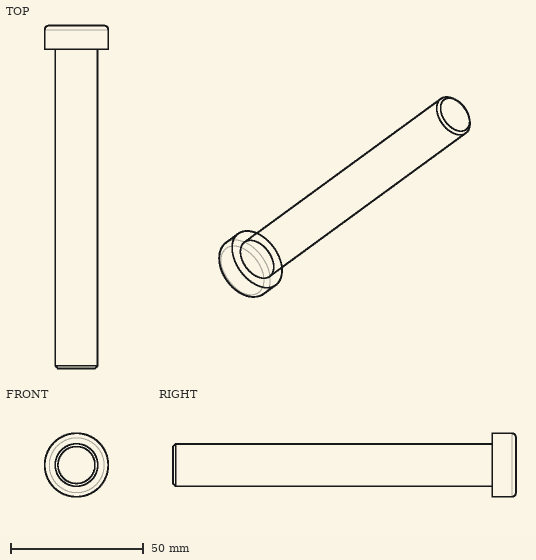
import cadquery as cq

total_length = 129.0
head_diameter = 24.0
head_height = 9.0
shank_diameter = 16.0
head_edge_radius = 1.7
tip_chamfer = 1.0

shank_length = total_length - head_height


def cylinder_along_y(diameter, start_y, length):
    """Cylinder on the Y axis, running from start_y toward +Y."""
    plane = cq.Plane(origin=(0, start_y, 0), xDir=(1, 0, 0), normal=(0, 1, 0))
    return cq.Workplane(plane).circle(diameter / 2).extrude(length)


shank = cylinder_along_y(shank_diameter, -shank_length, shank_length)
shank = shank.faces("<Y").edges().chamfer(tip_chamfer)

head = cylinder_along_y(head_diameter, 0, head_height)
head = head.faces(">Y").edges().fillet(head_edge_radius)

result = shank.union(head)